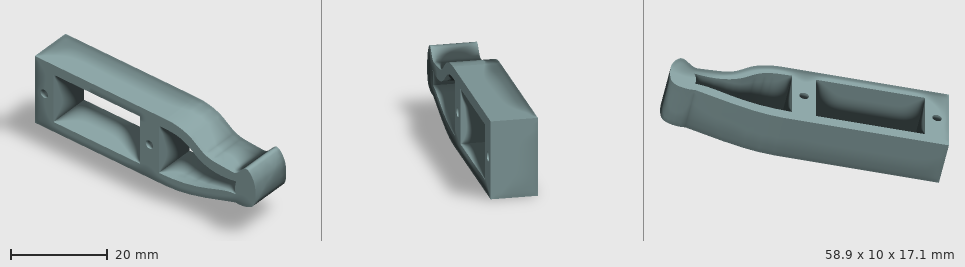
import cadquery as cq

length = 58.85
width = 10.0
height = 17.05
wall = 2.5
mid_height = height / 2

block_length = 5.0
window_length = 23.05
window_height = height - 2 * wall
hole_diameter = 2.0
window_end = block_length + window_length
cavity_start = window_end + block_length
hole_positions = (block_length / 2, window_end + block_length / 2)

shoulder_start = (34.9, height)
neck_end = (52.5, 11.8)
lip_end = (53.55, 4.4)
belly_start = (34.9, 0)
shoulder_curve = [
    (37.05, 16.95), (39.4, 16.4), (41.5, 15.55), (43.6, 14.0),
    (45.3, 12.9), (47.1, 12.3), (49.95, 12.0), neck_end,
]
lip_curve = [
    (53.65, 12.0), (54.95, 13.25), (56.35, 14.3), (57.8, 13.1),
    (length, 8.8), (58.1, 5.6), (56.2, 4.55), lip_end,
]
belly_curve = [(47.8, 2.6), (41.5, 0.8), belly_start]

cavity_top_start = (cavity_start, height - wall)
cavity_top_curve = [
    (35.3, 14.55), (38.65, 14.05), (40.75, 13.05), (43.6, 11.05), (46.4, 9.9), (49.25, 9.5), (53.7, 9.9),
]
cavity_end_mid = (53.35, 8.1)
cavity_end_bottom = (53.55, 6.55)
cavity_bottom_curve = [
    (52.1, 6.4), (47.8, 5.2), (41.5, 3.3), (35.05, 2.55), (cavity_start, wall),
]


def make_body():
    """Solid bottle-shaped outline."""
    return (
        cq.Workplane("XZ")
        .lineTo(0, height)
        .lineTo(*shoulder_start)
        .spline(shoulder_curve, includeCurrent=True)
        .spline(lip_curve, includeCurrent=True)
        .spline(belly_curve, includeCurrent=True)
        .close()
        .extrude(-width)
    )


def make_window():
    """Rectangular opening through the straight part."""
    return (
        cq.Workplane("XZ")
        .center(block_length + window_length / 2, mid_height)
        .rect(window_length, window_height)
        .extrude(-width)
    )


def make_neck_cavity():
    """Opening that follows the outer neck at a near-constant wall."""
    return (
        cq.Workplane("XZ")
        .moveTo(*cavity_top_start)
        .spline(cavity_top_curve, includeCurrent=True)
        .threePointArc(cavity_end_mid, cavity_end_bottom)
        .spline(cavity_bottom_curve, includeCurrent=True)
        .close()
        .extrude(-width)
    )


def make_holes():
    """Round through holes, one in each end block."""
    return (
        cq.Workplane("XZ")
        .pushPoints([(x, mid_height) for x in hole_positions])
        .circle(hole_diameter / 2)
        .extrude(-width)
    )


result = make_body().cut(make_window()).cut(make_neck_cavity()).cut(make_holes())